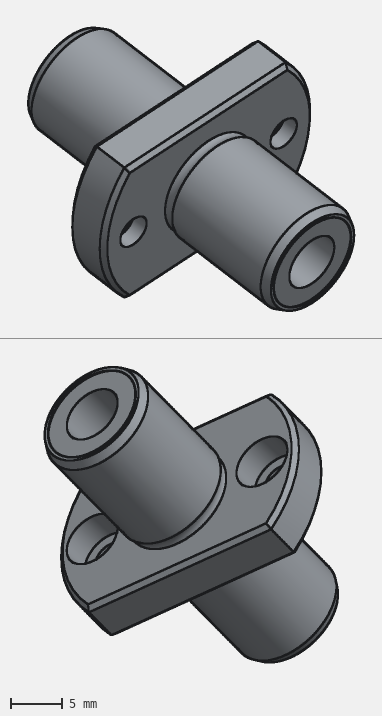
import cadquery as cq

length = 35.0

tube_radius = 12.0 / 2
bore_diameter = 6.0
end_taper_length = 0.98
end_taper_depth = 0.45
seal_radius = 10.3 / 2
seal_recess = 0.1

flange_thickness = 5.0
flange_diameter = 28.0
flange_height = 18.0
flange_chamfer = 0.52

groove_width = 1.25
groove_depth = 0.28
groove_depth_at_flange = 0.2

screw_spacing = 20.0
screw_hole_diameter = 3.5
counterbore_diameter = 6.0
counterbore_depth = 3.2

half_length = length / 2
half_flange = flange_thickness / 2
groove_edge = half_flange + groove_width


def half_tube():
    """Tube from the middle of the part to its +X end, revolved about X."""
    return (
        cq.Workplane("XY")
        .lineTo(0, tube_radius - groove_depth_at_flange)
        .lineTo(half_flange, tube_radius - groove_depth_at_flange)
        .threePointArc(
            (half_flange + groove_width / 2, tube_radius - groove_depth),
            (groove_edge, tube_radius),
        )
        .lineTo(half_length - end_taper_length, tube_radius)
        .lineTo(half_length, tube_radius - end_taper_depth)
        .lineTo(half_length, seal_radius)
        .lineTo(half_length - seal_recess, seal_radius)
        .lineTo(half_length - seal_recess, 0)
        .close()
        .revolve(360, (0, 0, 0), (1, 0, 0))
    )


def flange_plate():
    """Round plate cut to two flats, chamfered around both faces."""
    disc = cq.Workplane("YZ").circle(flange_diameter / 2).extrude(half_flange, both=True)
    flats = cq.Workplane("YZ").rect(flange_diameter, flange_height).extrude(half_flange, both=True)
    return disc.intersect(flats).faces("<X or >X").chamfer(flange_chamfer)


def screw_holes():
    """Two through holes, counterbored from the -X face of the flange."""
    face = cq.Workplane("YZ", origin=(-half_flange, 0, 0))
    places = [(-screw_spacing / 2, 0), (screw_spacing / 2, 0)]
    holes = face.pushPoints(places).circle(screw_hole_diameter / 2).extrude(flange_thickness)
    counterbores = face.pushPoints(places).circle(counterbore_diameter / 2).extrude(counterbore_depth)
    return holes.union(counterbores)


bore = cq.Workplane("YZ").circle(bore_diameter / 2).extrude(half_length, both=True)

right_tube = half_tube()
left_tube = right_tube.mirror("YZ")
result = flange_plate().union(right_tube).union(left_tube).cut(bore).cut(screw_holes())